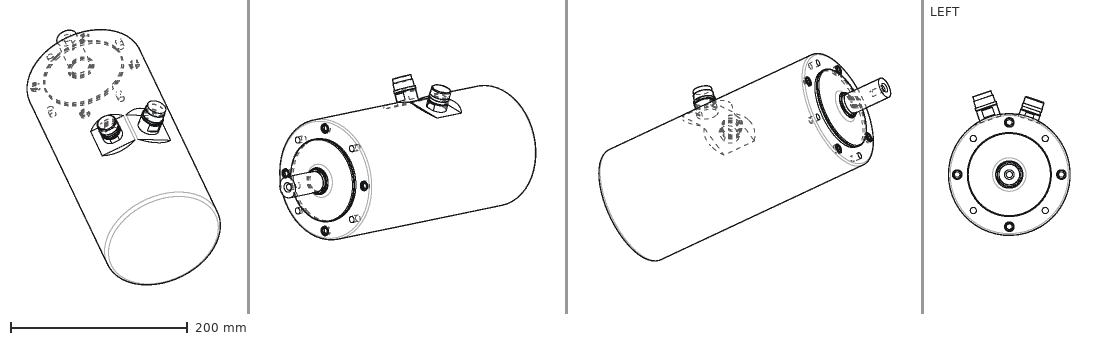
import cadquery as cq
import math

overall_length = 351.0
drum_radius = 138.0 / 2
flange_x = 63.5
front_round = 2.0
rear_round = 3.5
rear_cone_height = 1.5

pilot_radius = 95.0 / 2
pilot_front_x = 58.3
pilot_chamfer = 1.0
pilot_relief_x = 60.7
pilot_relief_depth = 0.53
cone_top_x = 55.0
cone_top_radius = 19.0
neck_x = 52.0
neck_radius = 15.5
neck_bulge_x = 54.0
neck_bulge_radius = 16.5

boss_radius = 30.0 / 2
boss_front_x = 50.0
seal_radius = 27.0 / 2
seal_depth = 1.5
shaft_radius = 24.0 / 2
shaft_relief_radius = 23.0 / 2
shaft_relief_x = 47.7

centre_mouth_radius = 11.0 / 2
centre_mouth_depth = 2.0
centre_bore_radius = 7.0 / 2
centre_bore_depth = 17.5
drill_tip_angle = 118.0

hole_count = 4
mount_circle_radius = 57.5
mount_hole_radius = 7.0 / 2
mount_hole_depth = 10.5
screw_circle_radius = 59.0
screw_pocket_radius = 11.0 / 2
screw_pocket_depth = 3.5
screw_head_radius = 10.0 / 2
screw_head_recess = 0.7
screw_head_chamfer = 0.5
screw_socket_diameter = 7.0
screw_socket_depth = 2.0

connector_x = 231.0
seat_tilt = 18.8
seat_depth = 3.0
seat_height = drum_radius - seat_depth
seat_length = 42.0
seat_mouth_length = 59.5
seat_cut_width = 56.0
seat_cut_height = 10.5

connector_flat_distance = 10.5

tall_base_radius = 12.3
tall_base_top = 79.7
tall_groove_radius = 11.2
tall_grip_bottom = 80.5
tall_grip_radius = 12.5
tall_grip_top = 83.2
tall_sleeve_radius = 23.0 / 2
tall_sleeve_top = 91.3
tall_cap_radius = 21.8 / 2
tall_top = 96.5
tall_flat_bottom = 70.0
tall_flat_top = 78.3

short_base_radius = 23.0 / 2
short_base_top = 73.7
short_groove_radius = 21.0 / 2
short_grip_bottom = 74.8
short_grip_radius = 23.0 / 2
short_grip_top = 81.8
short_waist_height = 78.3
short_waist_radius = 21.5 / 2
short_cap_radius = 22.5 / 2
short_cap_chamfer = 1.0
short_top = 90.0
short_flat_top = 73.0


def revolve_about_x(outline):
    return outline.close().revolve(360, (0, 0, 0), (1, 0, 0))


def cylinder_x(radius, x_start, length):
    return cq.Workplane("YZ", origin=(x_start, 0, 0)).circle(radius).extrude(length)


def around_flange(shape, circle_radius, start_angle):
    """Copies of an on-axis shape, spaced evenly on a bolt circle."""
    moved = shape.translate((0, circle_radius, 0))
    step = 360 / hole_count
    return [moved.rotate((0, 0, 0), (1, 0, 0), start_angle + i * step) for i in range(hole_count)]


def motor_blank():
    """Drum, shield, seal boss and shaft as one turned shape."""
    seal_floor_x = boss_front_x + seal_depth
    relief_radius = pilot_radius - pilot_relief_depth
    rear_rim_x = overall_length - rear_cone_height
    arc_offset = math.sqrt(0.5)
    front_centre = (flange_x + front_round, drum_radius - front_round)
    rear_centre = (rear_rim_x - rear_round, drum_radius - rear_round)
    front_mid = (front_centre[0] - front_round * arc_offset, front_centre[1] + front_round * arc_offset)
    rear_mid = (rear_centre[0] + rear_round * arc_offset, rear_centre[1] + rear_round * arc_offset)
    outline = (
        cq.Workplane("XY")
        .moveTo(0, 0)
        .lineTo(0, shaft_radius)
        .lineTo(shaft_relief_x, shaft_radius)
        .lineTo(shaft_relief_x, shaft_relief_radius)
        .lineTo(seal_floor_x, shaft_relief_radius)
        .lineTo(seal_floor_x, seal_radius)
        .lineTo(boss_front_x, seal_radius)
        .lineTo(boss_front_x, boss_radius)
        .lineTo(neck_x, boss_radius)
        .lineTo(neck_x, neck_radius)
        .threePointArc((neck_bulge_x, neck_bulge_radius), (cone_top_x, cone_top_radius))
        .lineTo(pilot_front_x, pilot_radius - pilot_chamfer)
        .lineTo(pilot_front_x + pilot_chamfer, pilot_radius)
        .lineTo(pilot_relief_x, pilot_radius)
        .lineTo(pilot_relief_x, relief_radius)
        .lineTo(flange_x, relief_radius)
        .lineTo(flange_x, front_centre[1])
        .threePointArc(front_mid, (front_centre[0], drum_radius))
        .lineTo(rear_centre[0], drum_radius)
        .threePointArc(rear_mid, (rear_rim_x, rear_centre[1]))
        .lineTo(overall_length, 0)
    )
    return revolve_about_x(outline)


def drilled_hole(radius, x_start, depth):
    """Blind hole with a conical drill tip."""
    tip_length = radius / math.tan(math.radians(drill_tip_angle / 2))
    points = [(0, 0), (0, radius), (depth, radius), (depth + tip_length, 0)]
    return revolve_about_x(cq.Workplane("XY").polyline(points)).translate((x_start, 0, 0))


def centre_mouth():
    """Countersink of the shaft's centre hole."""
    points = [
        (0, 0),
        (0, centre_mouth_radius),
        (centre_mouth_depth, centre_bore_radius),
        (centre_mouth_depth, 0),
    ]
    return revolve_about_x(cq.Workplane("XY").polyline(points))


def screw_head():
    """Chamfered head with a hexagon socket, sunk slightly below the flange face."""
    head_x = flange_x + screw_head_recess
    head = cylinder_x(screw_head_radius, head_x, screw_pocket_depth).faces("<X").chamfer(screw_head_chamfer)
    socket = cq.Workplane("YZ", origin=(head_x, 0, 0)).polygon(6, screw_socket_diameter)
    return head.cut(socket.extrude(screw_socket_depth))


def lean(shape, side):
    """Tilt an upright shape about the motor axis: side 1 towards +Y, side -1 towards -Y."""
    return shape.rotate((0, 0, 0), (1, 0, 0), -side * seat_tilt)


def connector_seat(side):
    """Flat-bottomed cutter whose end walls slope outwards."""
    half_floor = seat_length / 2
    slope = (seat_mouth_length - seat_length) / 2 / seat_depth
    half_top = half_floor + slope * seat_cut_height
    points = [
        (-half_floor, 0),
        (half_floor, 0),
        (half_top, seat_cut_height),
        (-half_top, seat_cut_height),
    ]
    plane = cq.Workplane("XZ", origin=(connector_x, seat_cut_width / 2, seat_height))
    return lean(plane.polyline(points).close().extrude(seat_cut_width), side)


def build_motor():
    motor = motor_blank()
    motor = motor.cut(centre_mouth())
    motor = motor.cut(drilled_hole(centre_bore_radius, 0, centre_bore_depth))
    mount_hole = drilled_hole(mount_hole_radius, flange_x, mount_hole_depth)
    for hole in around_flange(mount_hole, mount_circle_radius, 45):
        motor = motor.cut(hole)
    screw_pocket = cylinder_x(screw_pocket_radius, flange_x, screw_pocket_depth)
    for pocket in around_flange(screw_pocket, screw_circle_radius, 0):
        motor = motor.cut(pocket)
    for head in around_flange(screw_head(), screw_circle_radius, 0):
        motor = motor.union(head)
    for side in (1, -1):
        motor = motor.cut(connector_seat(side))
    return motor


def turned_connector(steps):
    """Solid of revolution about Z from (radius, height) steps, bottom to top."""
    bottom = (0, steps[0][1])
    top = (0, steps[-1][1])
    outline = cq.Workplane("XZ").polyline([bottom, *steps, top]).close()
    return outline.revolve(360, (0, 0, 0), (0, 1, 0))


def cut_flats(connector, bottom, top):
    """Two wrench flats facing -X and +X."""
    block_size = 2 * tall_base_radius
    for direction in (1, -1):
        block = (
            cq.Workplane("XY", origin=(direction * (connector_flat_distance + block_size / 2), 0, bottom))
            .rect(block_size, block_size)
            .extrude(top - bottom)
        )
        connector = connector.cut(block)
    return connector


def place_connector(connector, side):
    return lean(connector.translate((connector_x, 0, 0)), side)


def build_tall_connector():
    connector = turned_connector([
        (tall_base_radius, seat_height),
        (tall_base_radius, tall_base_top),
        (tall_groove_radius, tall_base_top),
        (tall_groove_radius, tall_grip_bottom),
        (tall_grip_radius, tall_grip_bottom),
        (tall_grip_radius, tall_grip_top),
        (tall_sleeve_radius, tall_grip_top),
        (tall_sleeve_radius, tall_sleeve_top),
        (tall_cap_radius, tall_sleeve_top),
        (tall_cap_radius, tall_top),
    ])
    connector = cut_flats(connector, tall_flat_bottom, tall_flat_top)
    return place_connector(connector, 1)


def build_short_connector():
    connector = turned_connector([
        (short_base_radius, seat_height),
        (short_base_radius, short_base_top),
        (short_groove_radius, short_base_top),
        (short_groove_radius, short_grip_bottom),
        (short_grip_radius, short_grip_bottom),
        (short_waist_radius, short_waist_height),
        (short_grip_radius, short_waist_height),
        (short_grip_radius, short_grip_top),
        (short_cap_radius, short_grip_top),
        (short_cap_radius, short_top - short_cap_chamfer),
        (short_cap_radius - short_cap_chamfer, short_top),
    ])
    connector = cut_flats(connector, seat_height, short_flat_top)
    return place_connector(connector, -1)


motor = build_motor()
tall_connector = build_tall_connector()
short_connector = build_short_connector()
result = cq.Compound.makeCompound([motor.val(), tall_connector.val(), short_connector.val()])